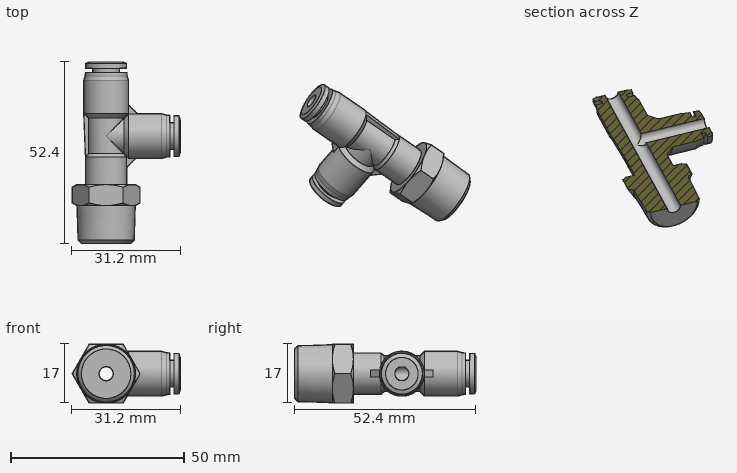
import cadquery as cq
import math


CORE_RADIUS = 5.2
BODY_RADIUS = 6.5
BODY_START = BODY_RADIUS
CORE_END = BODY_START - (BODY_RADIUS - CORE_RADIUS)
BODY_END = 16.0
BEVEL_RADIUS = 6.1
BEVEL_END = 17.4
MOUTH_RADIUS = 6.0
MOUTH_END = 18.4
NECK_RADIUS = 3.9
COLLAR_RADIUS = 5.9
COLLAR_START = 19.55
PORT_LENGTH = 21.4
COLLAR_EDGE_LENGTH = 0.4
COLLAR_FACE_RADIUS = 4.7

OVERALL_LENGTH = 52.4
THREAD_END = PORT_LENGTH - OVERALL_LENGTH
THREAD_LENGTH = 10.95
THREAD_TIP_RADIUS = 8.13
THREAD_TAPER = 1 / 16
THREAD_CHAMFER = 1.0
HEX_START = THREAD_END + THREAD_LENGTH
HEX_LENGTH = 6.05
HEX_END = HEX_START + HEX_LENGTH
HEX_ACROSS_FLATS = 17.0
HEX_CORNER_RADIUS = HEX_ACROSS_FLATS / math.sqrt(3)
HEX_CHAMFER_ANGLE = 30.0
SLEEVE_RADIUS = 6.0
SLEEVE_END = -6.0
SLEEVE_CONE_LENGTH = 0.9

WEB_THICKNESS = 2.0
GUSSET_LEG = 2.5
BORE_DIAMETER = 4.0


def revolve_about_y(profile):
    """Solid of revolution about Y from (radius, y) points; both ends close on the axis."""
    closed = [(0, profile[0][1])] + profile + [(0, profile[-1][1])]
    return cq.Workplane("XY").polyline(closed).close().revolve(360, (0, 0), (0, 1))


def make_port():
    """Port along +Y: core, coned shoulder, body, neck and release collar."""
    return revolve_about_y([
        (CORE_RADIUS, 0),
        (CORE_RADIUS, CORE_END),
        (BODY_RADIUS, BODY_START),
        (BODY_RADIUS, BODY_END),
        (BEVEL_RADIUS, BEVEL_END),
        (MOUTH_RADIUS, MOUTH_END),
        (NECK_RADIUS, MOUTH_END),
        (NECK_RADIUS, COLLAR_START),
        (COLLAR_RADIUS, COLLAR_START),
        (COLLAR_RADIUS, PORT_LENGTH - COLLAR_EDGE_LENGTH),
        (COLLAR_FACE_RADIUS, PORT_LENGTH),
    ])


def make_sleeve():
    """Sleeve above the hexagon, coned down to the core that reaches the branch axis."""
    return revolve_about_y([
        (SLEEVE_RADIUS, HEX_START),
        (SLEEVE_RADIUS, SLEEVE_END),
        (CORE_RADIUS, SLEEVE_END + SLEEVE_CONE_LENGTH),
        (CORE_RADIUS, 0),
    ])


def make_thread():
    """Plain tapered envelope of the male thread with a chamfered tip."""
    root_radius = THREAD_TIP_RADIUS + (THREAD_LENGTH - THREAD_CHAMFER) * THREAD_TAPER / 2
    return revolve_about_y([
        (THREAD_TIP_RADIUS - THREAD_CHAMFER, THREAD_END),
        (THREAD_TIP_RADIUS, THREAD_END + THREAD_CHAMFER),
        (root_radius, HEX_START),
    ])


def make_hexagon():
    """Hexagon with two corners pointing along X, both ends turned to a 30 degree chamfer."""
    face_radius = HEX_ACROSS_FLATS / 2
    chamfer_height = (HEX_CORNER_RADIUS - face_radius) * math.tan(math.radians(HEX_CHAMFER_ANGLE))
    prism = (
        cq.Workplane("XZ", origin=(0, HEX_END, 0))
        .polygon(6, 2 * HEX_CORNER_RADIUS)
        .extrude(HEX_LENGTH)
    )
    turned_blank = revolve_about_y([
        (face_radius, HEX_START),
        (HEX_CORNER_RADIUS, HEX_START + chamfer_height),
        (HEX_CORNER_RADIUS, HEX_END - chamfer_height),
        (face_radius, HEX_END),
    ])
    return prism.intersect(turned_blank)


def make_web():
    """Flat web in the XY plane: a rib on the -X side and a gusset in each branch corner."""
    outline = [
        (-SLEEVE_RADIUS, SLEEVE_END),
        (-BODY_RADIUS, BODY_START),
        (0, BODY_START + GUSSET_LEG),
        (BODY_RADIUS, BODY_START + GUSSET_LEG),
        (BODY_RADIUS + GUSSET_LEG, BODY_START),
        (SLEEVE_RADIUS + GUSSET_LEG, -BODY_RADIUS),
        (SLEEVE_RADIUS, -BODY_RADIUS - GUSSET_LEG),
        (0, -BODY_RADIUS - GUSSET_LEG),
    ]
    return cq.Workplane("XY").polyline(outline).close().extrude(WEB_THICKNESS / 2, both=True)


def make_bore():
    """Passage through the whole run, joined by a passage from the branch."""
    radius = BORE_DIAMETER / 2
    run = cq.Workplane("XZ", origin=(0, PORT_LENGTH, 0)).circle(radius).extrude(OVERALL_LENGTH)
    branch = cq.Workplane("YZ").circle(radius).extrude(PORT_LENGTH)
    return run.union(branch)


run_port = make_port()
branch_port = make_port().rotate((0, 0, 0), (0, 0, 1), -90)

result = (
    run_port
    .union(make_sleeve())
    .union(branch_port)
    .union(make_web())
    .union(make_hexagon())
    .union(make_thread())
    .cut(make_bore())
)